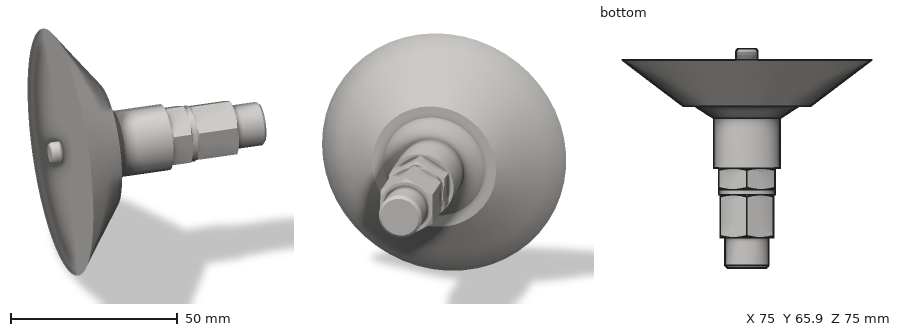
import cadquery as cq
import math


lip_diameter = 75.0
cup_back_diameter = 38.0
neck_base_diameter = 31.0
sleeve_diameter = 20.0
washer_diameter = 17.0
stud_diameter = 13.16
pin_diameter = 6.6

hexagon_sides = 6
lock_nut_flats = 17.0
body_flats = 16.0
hex_bevel_angle = 25.0

overall_length = 65.87
stud_end = 62.5
body_end = 53.4
body_start = 40.5
lock_nut_end = 39.0
lock_nut_start = 32.5
sleeve_start = 17.5
cup_back = 14.0
pin_length = overall_length - stud_end

stud_chamfer = 0.8
pin_tip_length = 1.2
pin_tip_depth = 0.7


def cylinder(diameter, start, end):
    """Round section about the Y axis from start to end."""
    plane = cq.Workplane("XZ", origin=(0, end, 0))
    return plane.circle(diameter / 2).extrude(end - start)


def cone(start_diameter, start, end_diameter, end):
    """Solid frustum about the Y axis."""
    profile = (
        cq.Workplane("XY")
        .moveTo(0, start)
        .lineTo(start_diameter / 2, start)
        .lineTo(end_diameter / 2, end)
        .lineTo(0, end)
        .close()
    )
    return profile.revolve(360, (0, 0, 0), (0, 1, 0))


def hexagon(flats, start, end):
    """Hexagonal prism along Y with its corners bevelled at both ends."""
    across_corners = flats / math.cos(math.pi / hexagon_sides)
    bevel = (across_corners - flats) / 2 * math.tan(math.radians(hex_bevel_angle))
    prism = (
        cq.Workplane("XZ", origin=(0, end, 0))
        .transformed(rotate=(0, 0, 90))
        .polygon(hexagon_sides, across_corners)
        .extrude(end - start)
    )
    envelope = (
        cone(flats, start, across_corners, start + bevel)
        .union(cylinder(across_corners, start + bevel, end - bevel))
        .union(cone(across_corners, end - bevel, flats, end))
    )
    return prism.intersect(envelope)


def make_cup():
    """Flared cup with its conical neck."""
    flare = cone(lip_diameter, 0, cup_back_diameter, cup_back)
    neck = cone(neck_base_diameter, cup_back, sleeve_diameter, sleeve_start)
    return flare.union(neck)


def make_fitting():
    """Sleeve, lock nut, washer, hex body and chamfered stud."""
    sleeve = cylinder(sleeve_diameter, sleeve_start, lock_nut_start)
    lock_nut = hexagon(lock_nut_flats, lock_nut_start, lock_nut_end)
    washer = cylinder(washer_diameter, lock_nut_end, body_start)
    body = hexagon(body_flats, body_start, body_end)
    stud = cylinder(stud_diameter, body_end, stud_end).faces(">Y").chamfer(stud_chamfer)
    return sleeve.union(lock_nut).union(washer).union(body).union(stud)


def make_pin():
    """Central pin standing out of the cup face, its tip rounded by an arc tangent to the shank."""
    pin_radius = pin_diameter / 2
    tip_start = pin_tip_length - pin_length
    profile = (
        cq.Workplane("XY")
        .lineTo(pin_radius, 0)
        .lineTo(pin_radius, tip_start)
        .tangentArcPoint((pin_radius - pin_tip_depth, -pin_length), relative=False)
        .lineTo(0, -pin_length)
        .close()
    )
    return profile.revolve(360, (0, 0, 0), (0, 1, 0))


result = make_cup().union(make_fitting()).union(make_pin())